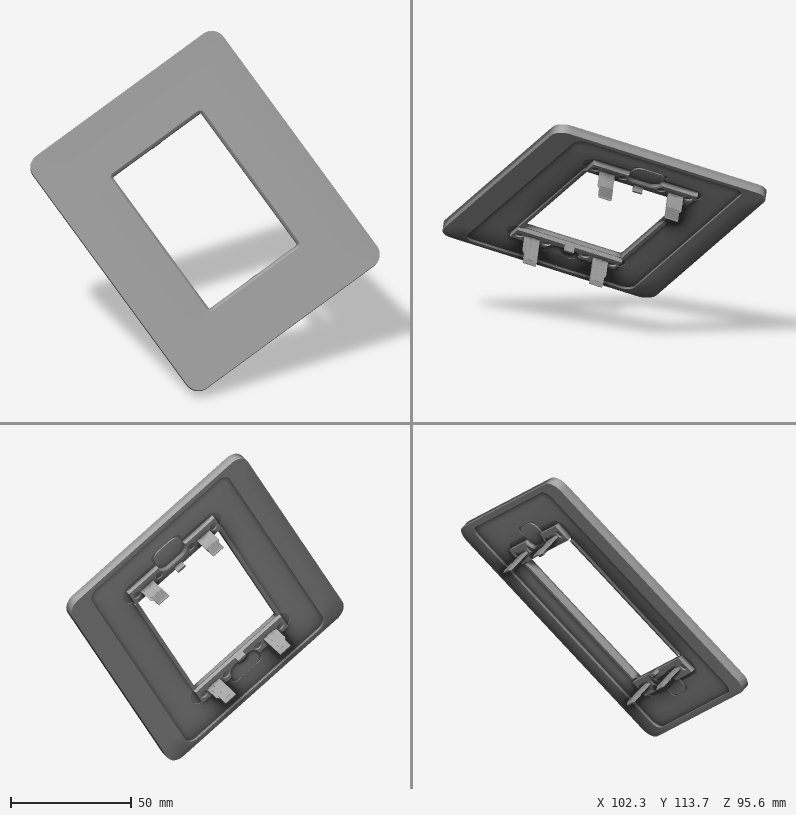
import cadquery as cq
TURN_ABOUT_Y = 33.3
TILT_ABOUT_X = 20.0

PLATE_LENGTH = 119.8
PLATE_WIDTH = 98.0
PLATE_DEPTH = 4.1
PLATE_CORNER = 6.0
FRONT_EDGE_ROUND = 0.2

POCKET_LENGTH = 114.8
POCKET_WIDTH = 77.1
POCKET_CORNER = 4.5
POCKET_FLOOR = 3.1

WINDOW_LENGTH = 68.2
WINDOW_WIDTH = 45.5
WINDOW_CORNER = 0.9
WINDOW_CHAMFER = 1.1

COLLAR_LENGTH = 65.9
COLLAR_THICKNESS = 1.6
COLLAR_BACK = PLATE_DEPTH

BAR_INNER = 33.9
BAR_OUTER = 41.8
BAR_LENGTH = 48.0
BAR_FRONT = 2.7
BAR_BACK = 4.9
BAR_CHAMFER = 0.5

SEAT_CENTRE = 38.5
SEAT_HEIGHT = 10.7
SEAT_LENGTH = 53.9
EAR_OUTER = 48.2
EAR_WIDTH = 15.9
EAR_CORNER = 2.3

PAD_INNER = 37.6
PAD_OUTER = 47.9
PAD_WIDTH = 14.3
PAD_BACK = 3.3

NOTCH_INNER = 37.5
NOTCH_WIDTH = 14.8
NOTCH_CORNER = 4.0
NOTCH_CHAMFER = 0.5

DIMPLE_POSITIONS = (-21.4, -8.9, 8.9, 21.4)
DIMPLE_CENTRE = 38.1
DIMPLE_RADIUS = 1.8
DIMPLE_DEPTH = 0.7

TAB_INNER = 33.8
TAB_WIDTH = 4.1
TAB_THICKNESS = 1.3
TAB_BACK = 7.4

LEG_INNER = 37.0
LEG_OUTER = 38.2
LEG_SIDE = 12.4
LEG_WIDTH = 5.8
LEG_BEVEL_START = 15.1
LEG_TIP = 16.7
LEG_TIP_INNER = 37.7
TOOTH_START = 11.4
TOOTH_COUNT = 6
TOOTH_PITCH = 0.8
TOOTH_HEIGHT = 0.3
FLANGE_INNER = 37.5
FLANGE_OUTER = 38.0
FLANGE_WIDTH = 1.0
FLANGE_BACK = 11.4
FLANGE_TAPER_BACK = 12.8
RIB_HEIGHT = 0.2
RIB_WIDTH = 1.9


def block(x_low, x_high, y_low, y_high, front, back):
    """Box between two X values, two Y values and two depths."""
    size = (x_high - x_low, y_high - y_low, back - front)
    return cq.Workplane("XY", origin=(x_low, y_low, -back)).box(*size, centered=False)


def rounded_block(x_low, x_high, width, front, back, corner):
    """Box centred on Y = 0 with its four corners rounded."""
    return block(x_low, x_high, -width / 2, width / 2, front, back).edges("|Z").fillet(corner)


def seat_recess():
    """Shape of the shallow seat of the +X bar: a slot with a rounded ear on its outer side."""
    slot = (
        cq.Workplane("XY", origin=(SEAT_CENTRE, 0, -PLATE_DEPTH))
        .slot2D(SEAT_LENGTH, SEAT_HEIGHT, 90)
        .extrude(PLATE_DEPTH - BAR_FRONT)
    )
    ear = block(SEAT_CENTRE, EAR_OUTER, -EAR_WIDTH / 2, EAR_WIDTH / 2, BAR_FRONT, PLATE_DEPTH)
    ear = ear.edges("|Z and >X").fillet(EAR_CORNER)
    return slot.union(ear)


def make_plate():
    half_length = PLATE_LENGTH / 2
    plate = rounded_block(-half_length, half_length, PLATE_WIDTH, 0, PLATE_DEPTH, PLATE_CORNER)
    plate = plate.faces(">Z").edges().fillet(FRONT_EDGE_ROUND)

    half_pocket = POCKET_LENGTH / 2
    plate = plate.cut(
        rounded_block(-half_pocket, half_pocket, POCKET_WIDTH, POCKET_FLOOR, PLATE_DEPTH, POCKET_CORNER)
    )

    seat = seat_recess()
    pad = rounded_block(PAD_INNER, PAD_OUTER, PAD_WIDTH, BAR_FRONT, PAD_BACK, NOTCH_CORNER)
    plate = plate.cut(seat).cut(seat.mirror("YZ"))
    plate = plate.union(pad).union(pad.mirror("YZ"))

    half_collar = COLLAR_LENGTH / 2
    collar_side = WINDOW_WIDTH / 2 + COLLAR_THICKNESS
    plate = plate.union(block(-half_collar, half_collar, -collar_side, collar_side, BAR_FRONT, COLLAR_BACK))

    half_window = WINDOW_LENGTH / 2
    window = rounded_block(-half_window, half_window, WINDOW_WIDTH, 0, COLLAR_BACK, WINDOW_CORNER)
    half_flare = half_window + WINDOW_CHAMFER
    flare_width = WINDOW_WIDTH + 2 * WINDOW_CHAMFER
    flare_corner = WINDOW_CORNER + WINDOW_CHAMFER
    flare = rounded_block(-half_flare, half_flare, flare_width, -WINDOW_CHAMFER, WINDOW_CHAMFER, flare_corner)
    flare = flare.faces("<Z").edges().chamfer(WINDOW_CHAMFER)
    return plate.cut(window).cut(flare)


def make_leg():
    """Leg of the +X bar on its +Y side, toothed on its outer side."""
    profile = [
        (LEG_OUTER, -BAR_BACK),
        (LEG_INNER, -BAR_BACK),
        (LEG_INNER, -LEG_BEVEL_START),
        (LEG_TIP_INNER, -LEG_TIP),
        (LEG_OUTER, -LEG_TIP),
    ]
    for tooth in reversed(range(TOOTH_COUNT)):
        root_front = TOOTH_START + tooth * TOOTH_PITCH
        profile += [
            (LEG_OUTER, -root_front - TOOTH_PITCH),
            (LEG_OUTER + TOOTH_HEIGHT, -root_front - TOOTH_PITCH / 2),
        ]
    profile.append((LEG_OUTER, -TOOTH_START))
    leg = cq.Workplane("XZ", origin=(0, LEG_SIDE, 0)).polyline(profile).close().extrude(-LEG_WIDTH)

    flange_root = LEG_SIDE + LEG_WIDTH
    flange_edge = flange_root + FLANGE_WIDTH
    flange_outline = [
        (flange_root, -BAR_BACK),
        (flange_edge, -BAR_BACK),
        (flange_edge, -FLANGE_BACK),
        (flange_root, -FLANGE_TAPER_BACK),
    ]
    flange = (
        cq.Workplane("YZ", origin=(FLANGE_INNER, 0, 0))
        .polyline(flange_outline)
        .close()
        .extrude(FLANGE_OUTER - FLANGE_INNER)
    )

    rib_side = LEG_SIDE + (LEG_WIDTH - RIB_WIDTH) / 2
    rib = block(LEG_INNER - RIB_HEIGHT, LEG_INNER, rib_side, rib_side + RIB_WIDTH, BAR_BACK, LEG_BEVEL_START)
    return leg.union(flange).union(rib)


def make_clip_bar():
    """Clip bar at the +X side of the window."""
    bar = block(BAR_INNER, BAR_OUTER, -BAR_LENGTH / 2, BAR_LENGTH / 2, BAR_FRONT, BAR_BACK)
    bar = bar.faces("<X").edges(">Z").chamfer(BAR_CHAMFER)

    notch = rounded_block(NOTCH_INNER, EAR_OUTER, NOTCH_WIDTH, BAR_FRONT, BAR_BACK, NOTCH_CORNER)
    notch_mouth = rounded_block(
        NOTCH_INNER - NOTCH_CHAMFER,
        EAR_OUTER + NOTCH_CHAMFER,
        NOTCH_WIDTH + 2 * NOTCH_CHAMFER,
        BAR_BACK - NOTCH_CHAMFER,
        BAR_BACK + NOTCH_CHAMFER,
        NOTCH_CORNER + NOTCH_CHAMFER,
    )
    notch_mouth = notch_mouth.faces(">Z").edges().chamfer(NOTCH_CHAMFER)
    bar = bar.cut(notch).cut(notch_mouth)

    dimples = (
        cq.Workplane("XY", origin=(DIMPLE_CENTRE, 0, -BAR_BACK))
        .pushPoints([(0, y) for y in DIMPLE_POSITIONS])
        .circle(DIMPLE_RADIUS)
        .extrude(DIMPLE_DEPTH)
    )
    bar = bar.cut(dimples)

    tab_front = BAR_FRONT + BAR_CHAMFER
    tab = block(TAB_INNER, TAB_INNER + TAB_THICKNESS, -TAB_WIDTH / 2, TAB_WIDTH / 2, tab_front, TAB_BACK)
    leg = make_leg()
    return bar.union(tab).union(leg).union(leg.mirror("XZ"))


def tilted(body):
    origin = (0, 0, 0)
    return body.rotate(origin, (0, 1, 0), TURN_ABOUT_Y).rotate(origin, (1, 0, 0), TILT_ABOUT_X)


plate = tilted(make_plate())
right_bar = make_clip_bar()
clip_bars = [tilted(bar) for bar in (right_bar, right_bar.mirror("YZ"))]

result = cq.Compound.makeCompound([plate.val(), *[bar.val() for bar in clip_bars]])